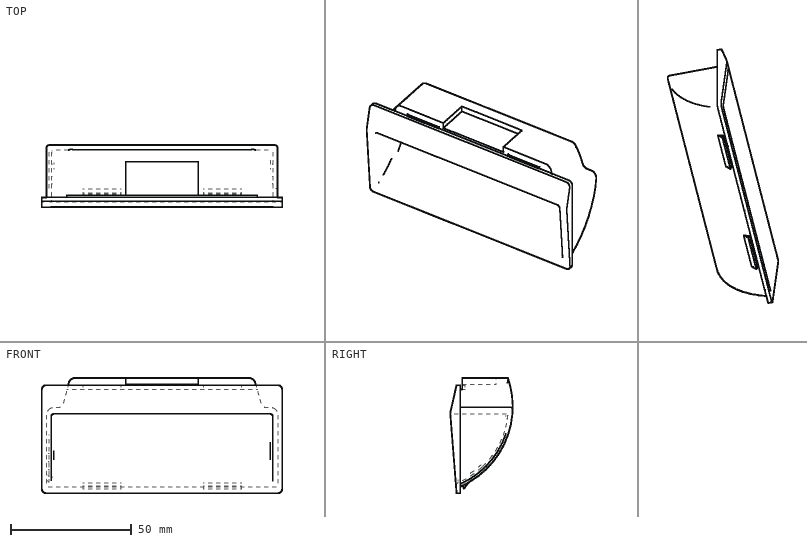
import cadquery as cq
import math

plate_width = 100.0
plate_height = 45.0
plate_edge_thickness = 1.6
plate_ridge_thickness = 4.25
plate_ridge_height = 33.4
plate_ridge_radius = 5.0
plate_corner_radius = 2.0

body_height = 48.0
body_half_width = 48.0
shoulder_height = 35.8
shoulder_radius = 3.0
neck_radius = 2.0
neck_top_radius = 3.0
neck_base_half_width = 41.5
neck_draft = math.radians(15)
back_depth = 21.8
back_radius = 36.2
back_axis_height = 36.0
back_axis_depth = back_depth - back_radius
back_edge_radius = 1.0
neck_gap = 0.8
neck_gap_height = 43.2

wall = 2.0
cavity_half_width = body_half_width - wall
cavity_ceiling = 33.0
cavity_back_radius = back_radius - wall
cavity_edge_radius = 1.0
rim_radius = 1.0

pocket_width = 30.0
pocket_depth = 2.6
pocket_back = 14.7
clip_inner = 17.2
clip_outer = 33.0
clip_ranges = ((-clip_outer, -clip_inner), (clip_inner, clip_outer))
slot_top = plate_height
slot_depth = 1.0

barb_heel_depth = 3.9
barb_tip_depth = 1.5
barb_tip_height = 1.9
barb_root_depth = 0.8
barb_embed = 0.3

front_reach = 2 * plate_ridge_thickness
margin = 0.2


def back_height_at(depth, radius):
    """Height of the lower part of a back cylinder at a given depth."""
    return back_axis_height - math.sqrt(radius**2 - (depth - back_axis_depth) ** 2)


def box(x_range, y_range, z_range):
    """Axis-aligned box from pairs of limits."""
    sizes = [high - low for low, high in (x_range, y_range, z_range)]
    corner = (x_range[0], y_range[0], z_range[0])
    return cq.Workplane("XY").box(*sizes, centered=False).translate(corner)


def back_cylinder(radius, half_width):
    """Cylinder along X that shapes the curved back."""
    return (
        cq.Workplane("YZ", origin=(-half_width, 0, 0))
        .center(back_axis_depth, back_axis_height)
        .circle(radius)
        .extrude(2 * half_width)
    )


def make_plate():
    """Plate whose front rises from both long edges to a rounded ridge."""
    plate = (
        cq.Workplane("YZ", origin=(-plate_width / 2, 0, 0))
        .polyline(
            [
                (0, 0),
                (0, plate_height),
                (-plate_edge_thickness, plate_height),
                (-plate_ridge_thickness, plate_ridge_height),
                (-plate_edge_thickness, 0),
            ]
        )
        .close()
        .extrude(plate_width)
    )
    plate = plate.edges("|X").edges("<Y").fillet(plate_ridge_radius)
    return plate.edges("|Y").fillet(plate_corner_radius)


def round_corner_pair(body, corner, radius):
    """Round the Y-direction edge at an outline corner and its mirror image."""
    x, z = corner
    for corner_x in (-x, x):
        nearest = cq.selectors.NearestToPointSelector((corner_x, back_depth / 2, z))
        body = body.edges("|Y").edges(nearest).fillet(radius)
    return body


def round_back_edges(body):
    """Round the curved back along the sides, leaving its long top and bottom edges sharp."""
    back_centre = cq.selectors.NearestToPointSelector((0, back_depth, back_axis_height))
    side_edges = body.faces(back_centre).edges("not(|X and (>Z or <Z))")
    return side_edges.fillet(back_edge_radius)


def make_body():
    """Shouldered block with a drafted neck, cut to the curved back."""
    neck_top_half_width = neck_base_half_width - (body_height - shoulder_height) * math.tan(neck_draft)
    half_outline = [
        (body_half_width, 0),
        (body_half_width, shoulder_height),
        (neck_base_half_width, shoulder_height),
        (neck_top_half_width, body_height),
    ]
    mirrored = [(-x, z) for x, z in reversed(half_outline)]
    body = (
        cq.Workplane("XZ")
        .polyline(half_outline + mirrored)
        .close()
        .extrude(-back_depth)
    )
    body = round_corner_pair(body, half_outline[1], shoulder_radius)
    body = round_corner_pair(body, half_outline[2], neck_radius)
    rounded_neck_top = round_corner_pair(body, half_outline[3], neck_top_radius)
    curved = body.intersect(back_cylinder(back_radius, body_half_width))
    return round_back_edges(curved).intersect(rounded_neck_top)


def make_cavity():
    """Finger cavity with a flat ceiling, open to the front, rounded along its sides."""
    block = box(
        (-cavity_half_width, cavity_half_width),
        (-front_reach, back_depth),
        (0, cavity_ceiling),
    )
    cavity = block.intersect(back_cylinder(cavity_back_radius, body_half_width))
    return cavity.faces("|X").edges("not(<Y)").fillet(cavity_edge_radius)


def round_rim(part):
    """Round the edge where the cavity opens through the front of the plate."""
    opening = cq.selectors.BoxSelector(
        (-cavity_half_width - margin, -front_reach, plate_corner_radius),
        (cavity_half_width + margin, -margin, cavity_ceiling + margin),
    )
    return part.edges(opening).fillet(rim_radius)


def make_neck_cuts():
    """Gap between neck and plate, latch pocket in the top, and a clip slot on each side."""
    neck_x = (-neck_base_half_width, neck_base_half_width)
    gap = box(neck_x, (0, neck_gap), (neck_gap_height, body_height))
    pocket = box(
        (-pocket_width / 2, pocket_width / 2),
        (0, pocket_back),
        (body_height - pocket_depth, body_height),
    )
    cuts = gap.union(pocket)
    for slot_x in clip_ranges:
        cuts = cuts.union(box(slot_x, (0, neck_gap + slot_depth), (neck_gap_height, slot_top)))
    return cuts


def make_barb(x_range):
    """Triangular barb hanging from the curved back, just behind the plate."""
    heel = (barb_heel_depth, back_height_at(barb_heel_depth, back_radius - barb_embed))
    root = (barb_root_depth, back_height_at(barb_root_depth, back_radius - barb_embed))
    tip = (barb_tip_depth, barb_tip_height)
    return (
        cq.Workplane("YZ", origin=(x_range[0], 0, 0))
        .polyline([heel, tip, root])
        .close()
        .extrude(x_range[1] - x_range[0])
    )


shell = make_plate().union(make_body()).cut(make_neck_cuts())
for barb_x in clip_ranges:
    shell = shell.union(make_barb(barb_x))
result = round_rim(shell.cut(make_cavity()))